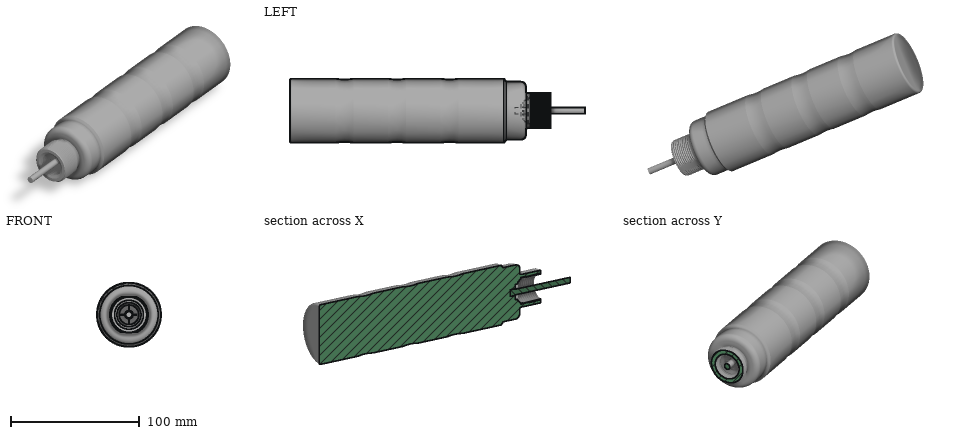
import cadquery as cq

body_radius = 25.0
body_top = 183.2
top_edge_fillet = 1.5
neck_radius = 22.7
neck_fillet = 4.4
shoulder_start = 15.3
shoulder_end = 17.2

waist_count = 3
waist_pitch = 40.8
waist_width = 13.7
waist_depth = 0.7
first_waist_center = 59.3

stub_length = 19.2
stub_crest_radius = 14.9
stub_root_radius = 14.0
stub_pitch = 1.5
stub_tooth_count = 10
tip_land = 1.0
tip_chamfer = 0.2
flat_distance = 13.7
flat_end_gap = 0.7

bore_radius = 9.5
bore_root_radius = 11.2
bore_pitch = 1.8
bore_tooth_count = 10
floor_radius = 7.5
taper_depth = 1.8

cable_radius = 2.5
cable_end = -45.8
recess_radius = 3.2
recess_depth = 2.3
socket_depth = 6.9
slit_width = 0.7
slit_reach = 6.2

floor_y = taper_depth
bore_thread_end = bore_tooth_count * bore_pitch - stub_length
socket_end = floor_y + socket_depth
cut_margin = 2.3


def cylinder(radius, y_start, y_end):
    """Cylinder on the Y axis from y_start up to y_end."""
    return cq.Workplane("XZ", origin=(0, y_end, 0)).circle(radius).extrude(y_end - y_start)


def turn(outline):
    """Solid of revolution around the Y axis from a closed XY outline."""
    return outline.close().revolve(360, (0, 0, 0), (0, 1, 0))


def make_shell():
    """Outer shell with rounded lower edge, sloped shoulder and rounded top edge."""
    outline = (
        cq.Workplane("XY")
        .lineTo(neck_radius - neck_fillet, 0)
        .radiusArc((neck_radius, neck_fillet), -neck_fillet)
        .lineTo(neck_radius, shoulder_start)
        .lineTo(body_radius, shoulder_end)
        .lineTo(body_radius, body_top - top_edge_fillet)
        .radiusArc((body_radius - top_edge_fillet, body_top), -top_edge_fillet)
        .lineTo(0, body_top)
    )
    return turn(outline)


def make_waist_cutter(center):
    """Ring whose inner face is the shallow arc of one waist."""
    outer_radius = body_radius + cut_margin
    low = center - waist_width / 2
    high = center + waist_width / 2
    outline = (
        cq.Workplane("XY")
        .moveTo(outer_radius, low)
        .lineTo(body_radius, low)
        .threePointArc((body_radius - waist_depth, center), (body_radius, high))
        .lineTo(outer_radius, high)
    )
    return turn(outline)


def make_flat_cutter(side):
    """Block that cuts one flat; side is 1 for +Z and -1 for -Z."""
    height = stub_crest_radius + cut_margin - flat_distance
    length = stub_length + cut_margin - flat_end_gap
    center_y = -flat_end_gap - length / 2
    block = cq.Workplane("XY").box(2 * stub_crest_radius, length, height)
    return block.translate((0, center_y, side * (flat_distance + height / 2)))


def thread_points(end_radius, middle_radius, pitch, count, y_start):
    """Zigzag of `count` V shapes toward +Y, each from end_radius to middle_radius and back."""
    points = [(end_radius, y_start)]
    for index in range(count):
        y_low = y_start + index * pitch
        points.append((middle_radius, y_low + pitch / 2))
        points.append((end_radius, y_low + pitch))
    return points


def make_stub():
    """Hollow stub with an outer and an inner thread of ring-shaped teeth and two flats."""
    tip_y = -stub_length
    outer_points = thread_points(
        stub_root_radius, stub_crest_radius, stub_pitch, stub_tooth_count, tip_y + tip_land
    )
    bore_points = thread_points(bore_root_radius, bore_radius, bore_pitch, bore_tooth_count, tip_y)
    outline = [(stub_root_radius - tip_chamfer, tip_y), (stub_root_radius, tip_y + tip_chamfer)]
    outline += outer_points
    outline += [(stub_root_radius, 0), (bore_radius, 0), (bore_radius, bore_thread_end)]
    outline += reversed(bore_points)
    stub = turn(cq.Workplane("XY").polyline(outline))
    for side in (1, -1):
        stub = stub.cut(make_flat_cutter(side))
    return stub


def make_taper_cutter():
    """Tapered bottom of the bore, from the bore radius to the flat floor."""
    outline = (
        cq.Workplane("XY")
        .lineTo(bore_radius, 0)
        .lineTo(floor_radius, floor_y)
        .lineTo(0, floor_y)
    )
    return turn(outline)


def make_slit_cutter():
    """Four narrow slits that cross at the axis."""
    bar = cq.Workplane("XY").box(2 * slit_reach, recess_depth, slit_width)
    crossed = bar.union(bar.rotate((0, 0, 0), (0, 1, 0), 90))
    return crossed.translate((0, floor_y + recess_depth / 2, 0))


def make_housing():
    """Shell and threaded stub as one solid, with the cable's socket in the bore floor."""
    shell = make_shell()
    for index in range(waist_count):
        shell = shell.cut(make_waist_cutter(first_waist_center + index * waist_pitch))
    shell = shell.cut(make_taper_cutter())
    shell = shell.cut(cylinder(recess_radius, floor_y, floor_y + recess_depth))
    shell = shell.cut(cylinder(cable_radius, floor_y, socket_end))
    shell = shell.cut(make_slit_cutter())
    return shell.union(make_stub())


def make_cable():
    """Round cable that fills the socket and leaves through the stub."""
    return cylinder(cable_radius, cable_end, socket_end)


housing = make_housing()
cable = make_cable()
result = cq.Compound.makeCompound([housing.solids().val(), cable.val()])